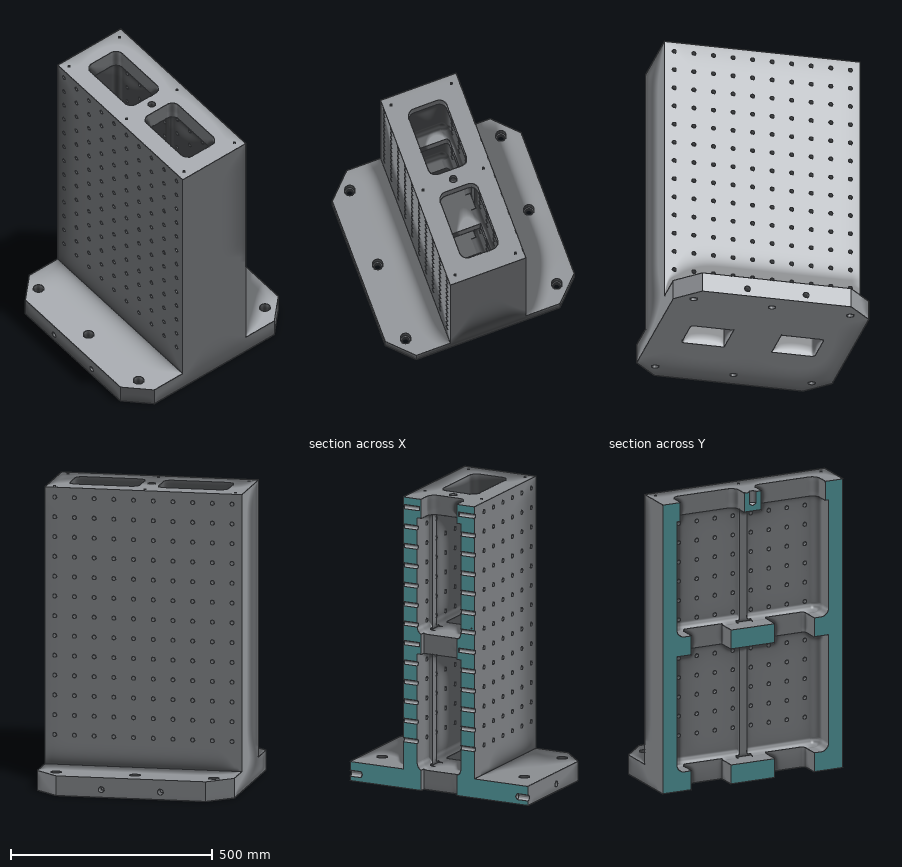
import cadquery as cq

height = 750.0
pitch = height / 15

side = 10 * pitch
base_thickness = pitch
corner_cut = 60.0

block_depth = 4 * pitch

slab_thickness = pitch
mouth_inner_x = 24.0
mouth_outer_x = 201.0
mouth_depth = 100.5
bay_outer_x = 210.0
bay_depth = 121.5
pocket_radius = 20.0
web_thickness = 20.0
web_corner_radius = 4.0
window_depth = 105.0
floor_hole_inner_x = 61.0
floor_hole_outer_x = 170.0
floor_hole_depth = 100.5
floor_hole_radius = 9.0

grid_columns = 10
grid_rows = 13
grid_diameter = 10.0
grid_hole_depth = 45.0

bolt_spacing = 4 * pitch
bolt_diameter = 18.0
bolt_recess_diameter = 26.0
bolt_recess_depth = 30.0

pin_x = 229.5
pin_y = 79.5
pin_diameter = 5.0
pin_depth = 15.0
lift_diameter = 18.0
lift_depth = 30.0

edge_hole_x = 1.5 * pitch
edge_hole_z = 19.5
edge_hole_diameter = 14.0
edge_hole_depth = 30.0

drill_point_ratio = 0.3

top_mouth_z = height - slab_thickness
mid_z = height / 2
bay_height = top_mouth_z - mid_z - slab_thickness / 2
bay_floors = [mid_z + slab_thickness / 2, mid_z - slab_thickness / 2 - bay_height]


def prism(inner_x, outer_x, depth, z_low, z_high):
    """Box on the +X side, centred on Y."""
    return cq.Workplane("XY").box(
        outer_x - inner_x, depth, z_high - z_low, centered=(False, True, False)
    ).translate((inner_x, 0, z_low))


def drill(diameter, depth):
    """Blind hole going down from the origin, with a pointed end."""
    radius = diameter / 2
    tip = depth + drill_point_ratio * diameter
    outline = [(0, 0), (radius, 0), (radius, -depth), (0, -tip)]
    return cq.Workplane("XZ").polyline(outline).close().revolve(360, (0, 0, 0), (0, 1, 0))


def both_sides(shape):
    """The shape together with its mirror image across the YZ plane."""
    return shape.union(shape.mirror("YZ"))


def bay(floor_z):
    """Room beside the web, rounded along its floor and up its outer corners."""
    room = prism(web_thickness / 2, bay_outer_x, bay_depth, floor_z, floor_z + bay_height)
    room = room.edges("(|Z and >X) or (<Z and (|X or >X))").fillet(pocket_radius)
    return room.edges("|Z and <X").fillet(web_corner_radius)


body = cq.Workplane("XY").rect(side, side).extrude(base_thickness).edges("|Z").chamfer(corner_cut)
body = body.union(cq.Workplane("XY").box(side, block_depth, height, centered=(True, True, False)))

mouth = prism(mouth_inner_x, mouth_outer_x, mouth_depth, top_mouth_z, height)
body = body.cut(both_sides(mouth.edges("|Z").fillet(pocket_radius)))
for floor_z in bay_floors:
    body = body.cut(both_sides(bay(floor_z)))
    body = body.cut(both_sides(prism(0, web_thickness, window_depth, floor_z, floor_z + bay_height)))
floor_hole = prism(floor_hole_inner_x, floor_hole_outer_x, floor_hole_depth, 0, top_mouth_z)
body = body.cut(both_sides(floor_hole.edges("|Z and >X").fillet(floor_hole_radius)))

grid_points = [
    ((column - (grid_columns - 1) / 2) * pitch, height - (row + 0.5) * pitch)
    for column in range(grid_columns)
    for row in range(grid_rows)
]
grid = (
    cq.Workplane("XZ", origin=(0, -block_depth / 2, 0))
    .pushPoints(grid_points)
    .circle(grid_diameter / 2)
    .extrude(-grid_hole_depth)
)
body = body.cut(grid).cut(grid.mirror("XZ"))

bolt_points = [(x, y) for x in (-bolt_spacing, 0, bolt_spacing) for y in (-bolt_spacing, bolt_spacing)]
plate_top = cq.Workplane("XY", origin=(0, 0, base_thickness)).pushPoints(bolt_points)
body = body.cut(plate_top.circle(bolt_diameter / 2).extrude(-base_thickness))
body = body.cut(plate_top.circle(bolt_recess_diameter / 2).extrude(-bolt_recess_depth))

pin_points = [(x, y) for x in (-pin_x, 0, pin_x) for y in (-pin_y, pin_y)]
pins = cq.Workplane("XY", origin=(0, 0, height)).pushPoints(pin_points)
body = body.cut(pins.circle(pin_diameter / 2).extrude(-pin_depth))
body = body.cut(drill(lift_diameter, lift_depth).translate((0, 0, height)))

edge_hole = drill(edge_hole_diameter, edge_hole_depth).rotate((0, 0, 0), (1, 0, 0), 90)
edge_hole = both_sides(edge_hole.translate((edge_hole_x, -side / 2, edge_hole_z)))
body = body.cut(edge_hole).cut(edge_hole.mirror("XZ"))

result = body